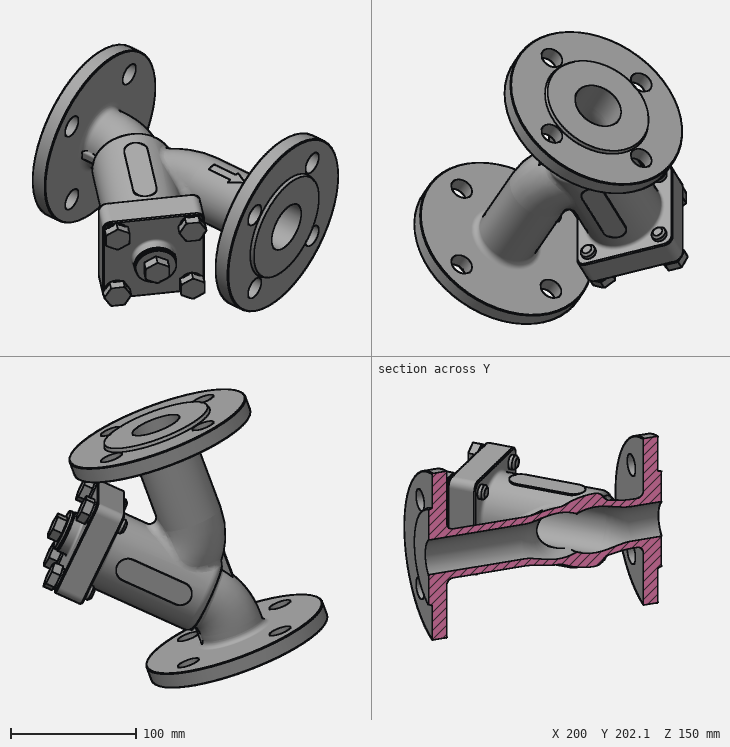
import cadquery as cq
import math

face_to_face = 200.0
pipe_od = 51.0
bore_d = 40.0
inlet_bend_x = -74.0
outlet_bend_x = 18.0
outlet_bend_radius = 40.0

flange_od = 150.0
flange_thickness = 13.0
raised_face_height = 3.0
raised_face_d = 88.0
raised_face_flare = 1.0
flange_edge_chamfer = 0.7
flange_root_fillet = 5.0
flange_hole_d = 18.0
flange_bolt_circle = 110.0
flange_hole_count = 4
flange_hole_start_angle = 45.0

branch_angle = 45.0
branch_origin = (-28.0, -28.0, 0.0)
branch_od = 65.0
branch_start = -26.5
branch_end_round = 6.0
branch_root_fillet = 3.0
pipe_branch_fillet = 6.0
inlet_branch_fillet = 3.0

plate_start = 65.6
plate_side = 82.0
plate_thickness = 12.0
plate_corner_radius = 7.0
plate_edge_chamfer = 1.0

bolt_circle = 86.0
bolt_count = 4
bolt_d = 12.0
bolt_tail = 5.2
bolt_tail_chamfer = 2.0
washer_d = 18.0
washer_thickness = 1.8
hex_across_flats = 19.0
hex_corner_trim_d = 21.0
hex_half_step = 30.0
hex_trim_angle = 30.0
bolt_head_height = 7.6

boss_d = 34.0
boss_height = 8.5
boss_fillet = 2.0
gasket_d = 32.0
gasket_thickness = 1.5
plug_collar_d = 33.0
plug_collar_thickness = 2.2
plug_hex_height = 8.0

pad_length = 65.0
pad_width = 19.0
pad_center = 20.6
pad_rise = 0.05

arrow_tail_x = 25.8
arrow_neck_x = 47.0
arrow_tip_x = 59.0
arrow_shaft_half = 3.7
arrow_head_half = 7.0
arrow_relief = 0.3

inlet_rib_crest_width = 5.2
inlet_rib_foot_width = 12.6
inlet_rib_bottom = -27.0
inlet_rib_end_x = -66.0
crotch_rib_thickness = 8.0
crotch_rib_top = 15.3
crotch_rib_start_x = -45.0
crotch_rib_end_x = -15.0
crotch_rib_bottom = -22.5

half_length = face_to_face / 2
flange_back_x = half_length - raised_face_height - flange_thickness
cover_start = plate_start + plate_thickness
cover_face = cover_start + plate_thickness
sin_a = math.sin(math.radians(branch_angle))
cos_a = math.cos(math.radians(branch_angle))
axis_crossing_x = branch_origin[0] + branch_origin[1]
inlet_bend_radius = (axis_crossing_x - inlet_bend_x) * cos_a / (1 - cos_a)


def branch_plane(distance):
    """Plane across the branch, local X along (1, 1, 0) and local Y along Z."""
    origin = (
        branch_origin[0] + distance * cos_a,
        branch_origin[1] - distance * sin_a,
        0.0,
    )
    return cq.Workplane(cq.Plane(origin=origin, xDir=(1, 1, 0), normal=(1, -1, 0)))


def branch_cylinder(diameter, start, length):
    return branch_plane(start).circle(diameter / 2).extrude(length)


def branch_axis():
    """Two points on the branch axis."""
    tip = (branch_origin[0] + 1, branch_origin[1] - 1, 0.0)
    return branch_origin, tip


def bend_end(start_x, radius, direction):
    """End point of a bend that starts at (start_x, 0) and turns towards -Y."""
    return (start_x + direction * radius * sin_a, -radius * (1 - cos_a))


def bend_middle(start_x, radius, direction):
    half = math.radians(branch_angle / 2)
    return (start_x + direction * radius * math.sin(half), -radius * (1 - math.cos(half)))


def inlet_run(diameter, start_x):
    """Round bar along the inlet: a straight and a bend that ends on the branch axis."""
    path = (
        cq.Workplane("XY")
        .moveTo(start_x, 0)
        .lineTo(inlet_bend_x, 0)
        .threePointArc(
            bend_middle(inlet_bend_x, inlet_bend_radius, 1),
            bend_end(inlet_bend_x, inlet_bend_radius, 1),
        )
    )
    return cq.Workplane("YZ", origin=(start_x, 0, 0)).circle(diameter / 2).sweep(path)


def outlet_run(diameter, start_x):
    """Round bar along the outlet: a straight, a bend and a straight into the branch."""
    end_x, end_y = bend_end(outlet_bend_x, outlet_bend_radius, -1)
    reach = (end_x + end_y - axis_crossing_x) / 2
    path = (
        cq.Workplane("XY")
        .moveTo(start_x, 0)
        .lineTo(outlet_bend_x, 0)
        .threePointArc(
            bend_middle(outlet_bend_x, outlet_bend_radius, -1),
            (end_x, end_y),
        )
        .lineTo(end_x - reach, end_y - reach)
    )
    return cq.Workplane("YZ", origin=(start_x, 0, 0)).circle(diameter / 2).sweep(path)


def end_flange():
    """Flange on the +X end: raised face, rim and a filleted root around the pipe."""
    rim = flange_od / 2
    pipe_r = pipe_od / 2
    chamfer = flange_edge_chamfer
    rim_face_x = half_length - raised_face_height
    root = flange_root_fillet
    root_mid = root * (1 - math.sqrt(0.5))
    profile = (
        cq.Workplane("XY")
        .moveTo(flange_back_x - root, 0)
        .lineTo(flange_back_x - root, pipe_r)
        .threePointArc(
            (flange_back_x - root_mid, pipe_r + root_mid),
            (flange_back_x, pipe_r + root),
        )
        .lineTo(flange_back_x, rim - chamfer)
        .lineTo(flange_back_x + chamfer, rim)
        .lineTo(rim_face_x - chamfer, rim)
        .lineTo(rim_face_x, rim - chamfer)
        .lineTo(rim_face_x, raised_face_d / 2 + raised_face_flare)
        .lineTo(half_length, raised_face_d / 2)
        .lineTo(half_length, 0)
        .close()
    )
    flange = profile.revolve(360, (0, 0, 0), (1, 0, 0))
    holes = (
        cq.Workplane("YZ", origin=(flange_back_x, 0, 0))
        .polarArray(flange_bolt_circle / 2, flange_hole_start_angle, 360, flange_hole_count)
        .circle(flange_hole_d / 2)
        .extrude(flange_thickness + raised_face_height)
    )
    return flange.cut(holes)


def fillet_ring(diameter, face, radius, side):
    """Concave fillet around a round boss of the branch; side is +1 or -1 along the axis."""
    wall = diameter / 2
    middle = radius * (1 - math.sqrt(0.5))
    plane = cq.Plane(origin=branch_plane(face).plane.origin, xDir=(1, -1, 0), normal=(0, 0, 1))
    return (
        cq.Workplane(plane)
        .moveTo(0, 0)
        .lineTo(0, wall + radius)
        .threePointArc((side * middle, wall + middle), (side * radius, wall))
        .lineTo(side * radius, 0)
        .close()
        .revolve(360, (0, 0, 0), (1, 0, 0))
    )


def branch_and_pipes():
    """Strainer branch with both pipe runs blended into it."""
    square_barrel = branch_cylinder(branch_od, branch_start, plate_start - branch_start)
    barrel = square_barrel.faces("<(1, -1, 0)").edges().fillet(branch_end_round)
    with_outlet = barrel.union(outlet_run(pipe_od, flange_back_x))
    with_outlet = with_outlet.edges("%BSPLINE").fillet(pipe_branch_fillet)
    with_inlet = square_barrel.union(inlet_run(pipe_od, -flange_back_x))
    with_inlet = with_inlet.edges("%BSPLINE").fillet(inlet_branch_fillet)
    end_corner = square_barrel.cut(barrel)
    root = fillet_ring(branch_od, plate_start, branch_root_fillet, -1)
    return with_inlet.cut(end_corner).union(with_outlet).union(root)


def inlet_rib():
    """Low rib under the inlet pipe; each flank is an S curve of two tangent arcs."""
    crest = inlet_rib_crest_width / 2
    foot = inlet_rib_foot_width / 2
    foot_y = -math.sqrt((pipe_od / 2) ** 2 - foot**2)
    flank_middle = ((crest + foot) / 2, (inlet_rib_bottom + foot_y) / 2)
    half_profile = (
        cq.Workplane("ZY", origin=(-flange_back_x, 0, 0))
        .moveTo(0, inlet_rib_bottom)
        .lineTo(crest, inlet_rib_bottom)
        .tangentArcPoint(flank_middle, relative=False)
        .tangentArcPoint((foot, foot_y), relative=False)
        .lineTo(foot, 0)
        .lineTo(0, 0)
        .close()
    )
    half_rib = half_profile.extrude(-(inlet_rib_end_x + flange_back_x))
    return half_rib.union(half_rib.mirror("XY"))


def crotch_rib():
    """Web that fills the notch between the two bends above the branch end."""
    return (
        cq.Workplane("XY")
        .moveTo(crotch_rib_start_x, crotch_rib_top)
        .lineTo(crotch_rib_end_x, crotch_rib_top)
        .lineTo((crotch_rib_start_x + crotch_rib_end_x) / 2, crotch_rib_bottom)
        .close()
        .extrude(crotch_rib_thickness / 2, both=True)
    )


def plate(start):
    return (
        branch_plane(start)
        .rect(plate_side, plate_side)
        .extrude(plate_thickness)
        .edges("|(1, -1, 0)")
        .fillet(plate_corner_radius)
    )


def branch_flange_and_cover():
    lower = plate(plate_start).faces("<(1, -1, 0)").chamfer(plate_edge_chamfer)
    cover = plate(cover_start).faces(">(1, -1, 0)").chamfer(plate_edge_chamfer)
    return lower.union(cover)


def hex_head(start, height):
    """Hexagon with flats facing local X, its outer corners trimmed by a cone."""
    corner_d = hex_across_flats / math.cos(math.radians(hex_half_step))
    trim = (corner_d - hex_corner_trim_d) / 2
    prism = branch_plane(start).polygon(6, corner_d).extrude(height)
    prism = prism.rotate(*branch_axis(), hex_half_step)
    cone = (
        branch_cylinder(corner_d, start, height)
        .faces(">(1, -1, 0)")
        .chamfer(trim * math.tan(math.radians(hex_trim_angle)), trim)
    )
    return prism.intersect(cone)


def cover_bolt():
    """Tail and washered head of one bolt, both placed on the branch axis."""
    tail = (
        branch_cylinder(bolt_d, plate_start - bolt_tail, bolt_tail)
        .faces("<(1, -1, 0)")
        .chamfer(bolt_tail_chamfer)
    )
    washer = branch_cylinder(washer_d, cover_face, washer_thickness)
    head = hex_head(cover_face + washer_thickness, bolt_head_height)
    return tail.add(washer.union(head))


def cover_bolts():
    """Four bolts, each turned a quarter turn from the one before."""
    offset = bolt_circle / 2 * math.sqrt(0.5)
    shift = (-offset * cos_a, -offset * sin_a, offset)
    first = cover_bolt().translate(shift)
    solids = []
    for index in range(bolt_count):
        solids += first.rotate(*branch_axis(), 360 / bolt_count * index).vals()
    return solids


def drain_plug():
    boss = branch_cylinder(boss_d, cover_face, boss_height)
    gasket_start = cover_face + boss_height
    collar_start = gasket_start + gasket_thickness
    hex_start = collar_start + plug_collar_thickness
    root = fillet_ring(boss_d, cover_face, boss_fillet, 1)
    gasket = branch_cylinder(gasket_d, gasket_start, gasket_thickness)
    collar = branch_cylinder(plug_collar_d, collar_start, plug_collar_thickness)
    hexagon = hex_head(hex_start, plug_hex_height)
    return boss.union(root).union(gasket).union(collar).union(hexagon)


def label_pads():
    """Flat-topped oblong pads on both sides of the branch."""
    pad = (
        cq.Workplane("XY")
        .slot2D(pad_length, pad_width, -branch_angle)
        .extrude(branch_od / 2 + pad_rise, both=True)
    )
    return pad.translate(
        (branch_origin[0] + pad_center * cos_a, branch_origin[1] - pad_center * sin_a, 0)
    )


def flow_arrow():
    """Arrow raised slightly from the top of the outlet pipe, pointing to +X."""
    outline = [
        (arrow_tail_x, -arrow_shaft_half),
        (arrow_neck_x, -arrow_shaft_half),
        (arrow_neck_x, -arrow_head_half),
        (arrow_tip_x, 0),
        (arrow_neck_x, arrow_head_half),
        (arrow_neck_x, arrow_shaft_half),
        (arrow_tail_x, arrow_shaft_half),
    ]
    shape = cq.Workplane("XY").polyline(outline).close().extrude(pipe_od)
    skin = (
        cq.Workplane("YZ", origin=(arrow_tail_x, 0, 0))
        .circle(pipe_od / 2 + arrow_relief)
        .extrude(arrow_tip_x - arrow_tail_x)
    )
    return shape.intersect(skin)


def bores():
    """Inlet, branch and outlet bores of one diameter, joined inside the branch."""
    end_x, end_y = bend_end(inlet_bend_x, inlet_bend_radius, 1)
    bend_end_distance = (end_x - end_y - branch_origin[0] + branch_origin[1]) * cos_a
    branch_bore = branch_cylinder(bore_d, bend_end_distance, cover_start - bend_end_distance)
    inlet = inlet_run(bore_d, -half_length)
    outlet = outlet_run(bore_d, half_length)
    return branch_bore.union(inlet).union(outlet)


right_flange = end_flange()
left_flange = right_flange.mirror("YZ")
result = branch_and_pipes().union(right_flange).union(left_flange)
result = result.union(inlet_rib()).union(crotch_rib())
result = result.union(branch_flange_and_cover())
result = result.union(label_pads()).union(flow_arrow()).union(drain_plug())
for bolt_solid in cover_bolts():
    result = result.union(cq.Workplane(bolt_solid))
result = result.cut(bores())